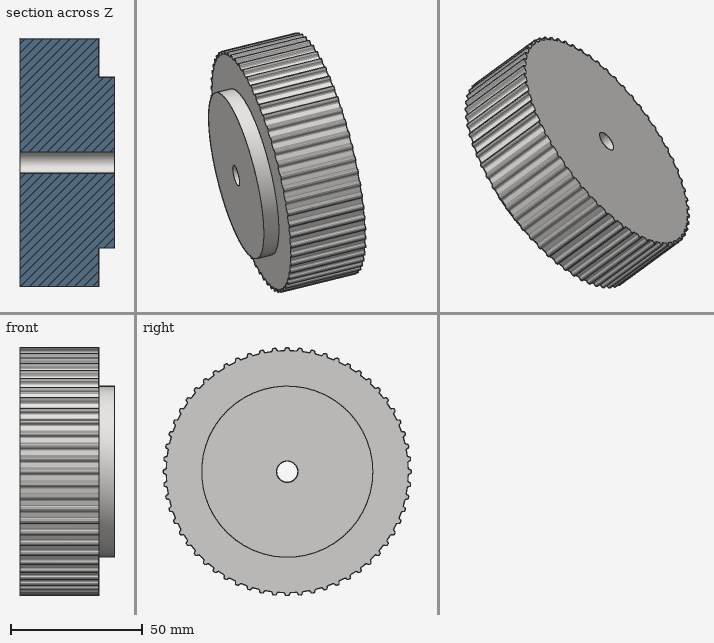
import cadquery as cq
import math

outer_diameter = 94.25
tooth_count = 60
rim_width = 30.0
overall_length = 36.0
hub_diameter = 65.0
bore_diameter = 8.0

groove_depth = 1.1
groove_floor_width = 2.6
flank_angle = 25.0
tip_round = 0.6
root_round = 0.4

tip_radius = outer_diameter / 2
root_radius = tip_radius - groove_depth
tooth_pitch_angle = 2 * math.pi / tooth_count


def polar(radius, angle):
    """Point in the pulley plane, with the angle measured from +Y towards +Z."""
    return (radius * math.cos(angle), radius * math.sin(angle))


def half_angle(radius, half_width):
    """Angle from the groove centreline to a point half_width away from it."""
    return math.asin(half_width / radius)


def make_rim():
    """Toothed rim with a tooth centred on +Y, its corners still sharp."""
    floor_half_width = groove_floor_width / 2
    mouth_half_width = floor_half_width + groove_depth * math.tan(math.radians(flank_angle))
    floor_angle = half_angle(root_radius, floor_half_width)
    mouth_angle = half_angle(tip_radius, mouth_half_width)

    outline = cq.Workplane("YZ").moveTo(*polar(tip_radius, -tooth_pitch_angle / 2 + mouth_angle))
    for tooth in range(tooth_count):
        tooth_centre = tooth * tooth_pitch_angle
        groove_centre = tooth_centre + tooth_pitch_angle / 2
        outline = (
            outline
            .threePointArc(polar(tip_radius, tooth_centre), polar(tip_radius, groove_centre - mouth_angle))
            .lineTo(*polar(root_radius, groove_centre - floor_angle))
            .threePointArc(polar(root_radius, groove_centre), polar(root_radius, groove_centre + floor_angle))
            .lineTo(*polar(tip_radius, groove_centre + mouth_angle))
        )
    return outline.close().extrude(rim_width)


def round_corners(rim, corner_radius, round_radius):
    """Fillet the lengthwise tooth edges that lie at corner_radius from the axis."""
    def is_corner(edge):
        centre = edge.Center()
        return math.isclose(math.hypot(centre.y, centre.z), corner_radius, abs_tol=groove_depth / 4)

    return rim.edges("|X").filter(is_corner).fillet(round_radius)


rim = make_rim()
rim = round_corners(rim, tip_radius, tip_round)
rim = round_corners(rim, root_radius, root_round)
hub = cq.Workplane("YZ").circle(hub_diameter / 2).extrude(overall_length)
bore = cq.Workplane("YZ").circle(bore_diameter / 2).extrude(overall_length)

result = rim.union(hub).cut(bore)